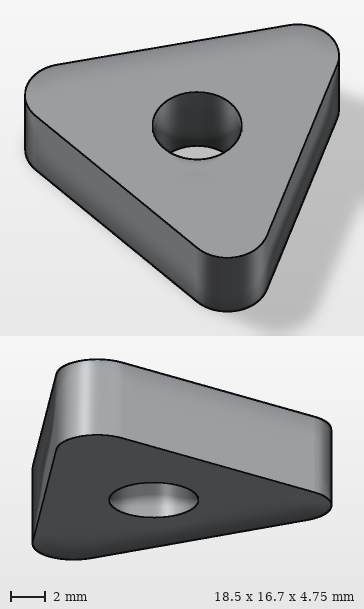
import cadquery as cq
import math

overall_width = 18.51
corner_radius = 2.39
thickness = 4.75
hole_diameter = 5.16

centre_spacing = overall_width - 2 * corner_radius
centre_circle_radius = centre_spacing / math.sqrt(3)

sharp_circle_diameter = 2 * (centre_circle_radius + 2 * corner_radius)


def make_body():
    """Triangular plate, apex toward +Y, with rounded vertical corners."""
    return (
        cq.Workplane("XY")
        .transformed(rotate=(0, 0, 90))
        .polygon(3, sharp_circle_diameter)
        .extrude(thickness)
        .edges("|Z")
        .fillet(corner_radius)
    )


def cut_centre_hole(body):
    """Round through hole at the centroid of the triangle."""
    return body.faces(">Z").workplane(origin=(0, 0, 0)).hole(hole_diameter)


result = cut_centre_hole(make_body())